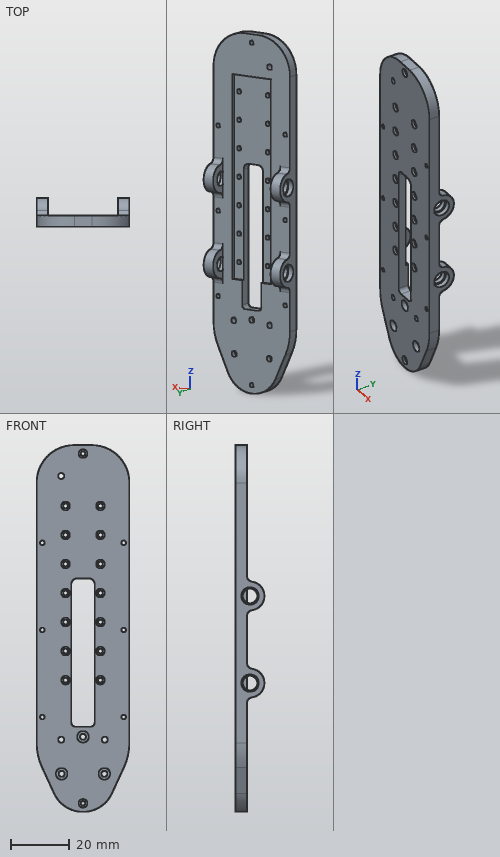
import cadquery as cq
import math


length = 126.4
half_width = 16.0
thickness = 4.0
top_corner_radius = 13.0
tip_radius = 11.0
shoulder_radius = 20.0
shoulder_z = 23.8

window_width = 8.0
window_bottom = 29.4
window_top = 80.4
window_top_radius = 2.0
window_bottom_radius = 1.5

recess_depth = 1.0
recess_width = 16.0
recess_bottom = 39.4
recess_top = 111.4

lug_width = 4.0
lug_radius = 5.0
lug_axis_y = 5.0
lug_fillet = 2.0
lug_middle_z = 59.4
lug_spacing = 30.0
lug_bore = 5.0
lug_counterbore = 6.0
lug_counterbore_depth = 2.0

large_counterbore_depth = 2.0
small_bore = 1.6
small_counterbore = 3.0
small_counterbore_depth = 1.0
end_bore = 1.5
end_margin = 3.0
large_bore = 2.0
large_counterbore = 4.0
row_count = 7
row_pitch = 10.0
row_half_spacing = 6.0
row_bottom_z = 45.4
centre_hole_z = 25.9
lower_pair_z = 13.15
lower_pair_x = 7.35

edge_hole = 1.5
edge_hole_x = 14.0
edge_hole_pitch = 30.0
edge_hole_bottom_z = 32.7
edge_hole_count = 3
pin_hole = 2.0
pin_hole_x = 7.5
pin_hole_low_z = 24.9
pin_hole_high_z = 115.7


def from_front(y=0.0):
    """Workplane facing -Y whose local axes are the part's X and Z."""
    return cq.Workplane("XZ", origin=(0, y, 0))


def arc_point(centre, radius, angle):
    """Point on a circle in the XZ plane; the angle dips below +X."""
    return (centre[0] + radius * math.cos(angle), centre[1] - radius * math.sin(angle))


def mirrored(point):
    return (-point[0], point[1])


def make_plate():
    shoulder_centre = (half_width - shoulder_radius, shoulder_z)
    tip_centre = (0.0, tip_radius)
    dx = tip_centre[0] - shoulder_centre[0]
    dz = shoulder_centre[1] - tip_centre[1]
    slope = math.atan2(dz, dx) - math.acos((shoulder_radius - tip_radius) / math.hypot(dx, dz))

    shoulder_mid = arc_point(shoulder_centre, shoulder_radius, slope / 2)
    shoulder_end = arc_point(shoulder_centre, shoulder_radius, slope)
    tip_start = arc_point(tip_centre, tip_radius, slope)

    corner_centre = (half_width - top_corner_radius, length - top_corner_radius)
    corner_mid = arc_point(corner_centre, top_corner_radius, -math.pi / 4)
    corner_side = (half_width, corner_centre[1])
    corner_top = (corner_centre[0], length)

    return (
        from_front()
        .moveTo(*corner_side)
        .lineTo(half_width, shoulder_z)
        .threePointArc(shoulder_mid, shoulder_end)
        .lineTo(*tip_start)
        .threePointArc((0, 0), mirrored(tip_start))
        .lineTo(*mirrored(shoulder_end))
        .threePointArc(mirrored(shoulder_mid), (-half_width, shoulder_z))
        .lineTo(*mirrored(corner_side))
        .threePointArc(mirrored(corner_mid), mirrored(corner_top))
        .lineTo(*corner_top)
        .threePointArc(corner_mid, corner_side)
        .close()
        .extrude(-thickness)
    )


def make_window():
    return (
        from_front()
        .center(0, (window_bottom + window_top) / 2)
        .rect(window_width, window_top - window_bottom)
        .extrude(-thickness)
        .edges("|Y and >Z").fillet(window_top_radius)
        .edges("|Y and <Z").fillet(window_bottom_radius)
    )


def make_recess():
    return (
        from_front(thickness)
        .center(0, (recess_bottom + recess_top) / 2)
        .rect(recess_width, recess_top - recess_bottom)
        .extrude(recess_depth)
    )


def make_lug(side, z):
    """Round lug with concave fillets running into the back face of the plate."""
    fillet_y = thickness + lug_fillet
    fillet_dz = math.sqrt((lug_radius + lug_fillet) ** 2 - (fillet_y - lug_axis_y) ** 2)
    tangent_ratio = lug_radius / (lug_radius + lug_fillet)
    tangent_y = lug_axis_y + (fillet_y - lug_axis_y) * tangent_ratio
    tangent_dz = fillet_dz * tangent_ratio
    end_angle = math.atan2(tangent_dz - fillet_dz, tangent_y - fillet_y)
    mid_angle = (end_angle - math.pi) / 2
    mid_y = fillet_y + lug_fillet * math.cos(mid_angle)
    mid_dz = fillet_dz + lug_fillet * math.sin(mid_angle)

    inner_x = half_width - lug_width
    start_x = inner_x if side > 0 else -half_width
    return (
        cq.Workplane("YZ", origin=(start_x, 0, z))
        .moveTo(0, -fillet_dz)
        .lineTo(thickness, -fillet_dz)
        .threePointArc((mid_y, -mid_dz), (tangent_y, -tangent_dz))
        .threePointArc((lug_axis_y + lug_radius, 0), (tangent_y, tangent_dz))
        .threePointArc((mid_y, mid_dz), (thickness, fillet_dz))
        .lineTo(0, fillet_dz)
        .close()
        .extrude(lug_width)
    )


def make_lug_bore(side, z):
    """Bore through one lug, counterbored on its outer face; stops at the lug's inner face."""
    outer_plane = cq.Workplane("YZ", origin=(side * half_width, lug_axis_y, z))
    bore = outer_plane.circle(lug_bore / 2).extrude(-side * lug_width)
    counterbore = outer_plane.circle(lug_counterbore / 2).extrude(-side * lug_counterbore_depth)
    return bore.union(counterbore)


def through_holes(points, diameter):
    return from_front().pushPoints(points).circle(diameter / 2).extrude(-thickness)


def stepped_holes(points, bore, counterbore, depth):
    recess = from_front().pushPoints(points).circle(counterbore / 2).extrude(-depth)
    return through_holes(points, bore).union(recess)


sides = (-1, 1)
lug_places = [(side, lug_middle_z + end * lug_spacing / 2) for side in sides for end in sides]
row_points = [
    (side * row_half_spacing, row_bottom_z + row * row_pitch) for side in sides for row in range(row_count)
]
edge_points = [
    (side * edge_hole_x, edge_hole_bottom_z + row * edge_hole_pitch)
    for side in sides
    for row in range(edge_hole_count)
]
end_points = [(0, end_margin), (0, length - end_margin)]
large_points = [(0, centre_hole_z), (-lower_pair_x, lower_pair_z), (lower_pair_x, lower_pair_z)]
pin_points = [(-pin_hole_x, pin_hole_low_z), (pin_hole_x, pin_hole_low_z), (-pin_hole_x, pin_hole_high_z)]

result = make_plate().cut(make_window()).cut(make_recess())
for place in lug_places:
    result = result.union(make_lug(*place))
for place in lug_places:
    result = result.cut(make_lug_bore(*place))
result = result.cut(stepped_holes(row_points, small_bore, small_counterbore, small_counterbore_depth))
result = result.cut(stepped_holes(end_points, end_bore, small_counterbore, small_counterbore_depth))
result = result.cut(stepped_holes(large_points, large_bore, large_counterbore, large_counterbore_depth))
result = result.cut(through_holes(edge_points, edge_hole))
result = result.cut(through_holes(pin_points, pin_hole))